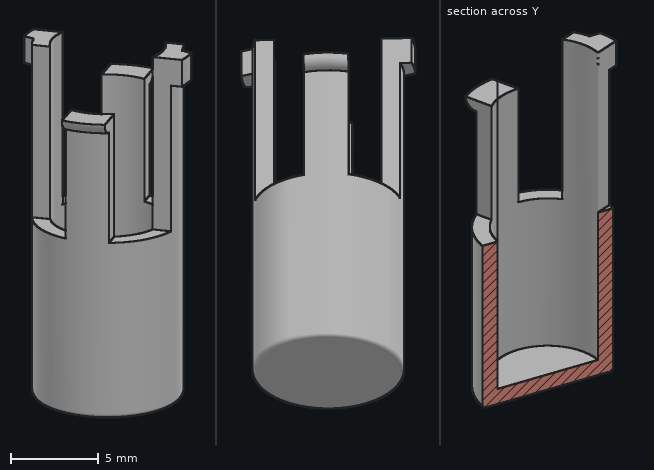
import cadquery as cq
import math

height = 21.3
body_radius = 8.73 / 2
bore_radius = 6.66 / 2
base_height = 10.75
floor_thickness = body_radius - bore_radius
bottom_fillet = 0.25

finger_angle = 22.5
finger_width = 2.58
short_finger_top = 18.25

tab_radius = 5.0
tab_height = 1.64
tab_edge_y = 1.92

lip_radius = 5.13
lip_height = 0.75


def cylinder(radius, bottom, top):
    return cq.Workplane("XY").workplane(offset=bottom).circle(radius).extrude(top - bottom)


def ring(radius, bottom, top):
    return cylinder(radius, bottom, top).cut(cylinder(bore_radius, bottom, top))


def strip(angle):
    """Full-height strip through the axis that bounds one opposite pair of fingers."""
    length = 3 * body_radius
    bar = cq.Workplane("XY").box(length, finger_width, height, centered=(True, True, False))
    return bar.rotate((0, 0, 0), (0, 0, 1), angle)


def make_base():
    outside = cylinder(body_radius, 0, base_height).faces("<Z").edges().fillet(bottom_fillet)
    return outside.cut(cylinder(bore_radius, floor_thickness, base_height))


def make_tall_fingers():
    walls = ring(body_radius, base_height, height)
    tab_bottom = height - tab_height
    tab_limit = cq.Workplane("XY").workplane(offset=tab_bottom).rect(3 * body_radius, 2 * tab_edge_y)
    tabs = ring(tab_radius, tab_bottom, height).intersect(tab_limit.extrude(tab_height))
    return walls.union(tabs).intersect(strip(finger_angle))


def make_short_fingers():
    lip_bottom = short_finger_top - lip_height
    arc_start = lip_radius - lip_height
    arc_step = lip_height * math.sqrt(0.5)
    section = (
        cq.Workplane("XZ")
        .moveTo(bore_radius, base_height)
        .lineTo(body_radius, base_height)
        .lineTo(body_radius, lip_bottom)
        .lineTo(arc_start, lip_bottom)
        .threePointArc((arc_start + arc_step, short_finger_top - arc_step), (lip_radius, short_finger_top))
        .lineTo(bore_radius, short_finger_top)
        .close()
    )
    profile = section.revolve(360, (0, 0, 0), (0, 1, 0))
    return profile.intersect(strip(finger_angle + 90))


result = make_base().union(make_tall_fingers()).union(make_short_fingers())